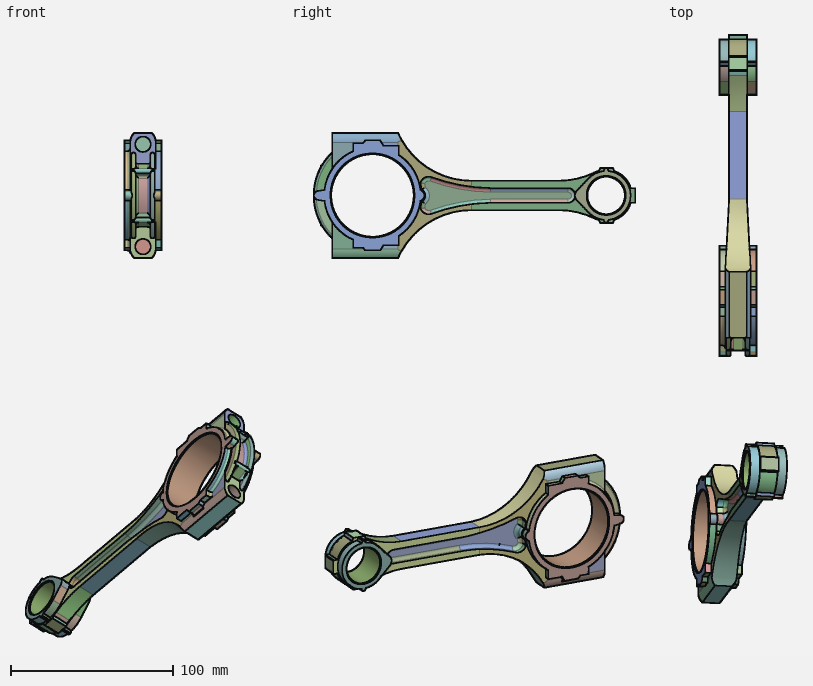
import cadquery as cq
import math


pin_y = 144.2
pin_body_radius = 15.9
shank_half_height = 9.1
shank_half_thickness = 5.5
neck_y = 115.0
flare_y = 61.0
flare_radius = 49.3
shoulder_half_thickness = 8.0
taper_end_y = 15.5

shoulder_height = 77.3
shoulder_half_height = shoulder_height / 2
seat_y = -24.8
shoulder_round_z = 32.8
bolt_z = 31.5
bolt_radius = 4.8
bolt_depth = 29.8
cap_radius = 36.4
channel_floor_radius = 30.8
cap_rib_outer_x = 7.4
cap_rib_inner_x = 4.4
channel_fillet = 1.5

boss_half_width = 11.5
crank_bore_radius = 25.5
pin_bore_radius = 11.5
bore_chamfer = 0.5
crank_boss_radius = 29.8
pin_boss_radius = 15.1
pin_boss_tip_y = 125.0
pin_boss_tip_radius = 4.4
nub_half_height = 2.8
nub_foot_half_height = 3.4
nub_reach = 36.2
rod_nub_reach = 32.0
boss_base_fillet = 1.5
crank_pad_start_y = 16.3
crank_pad_end_y = -11.7
crank_pad_lug_z = 34.0
crank_pad_lug_start_y = 4.8
crank_pad_lug_end_y = -4.4
crank_pad_end_z = 32.2
crank_pad_start_z = 30.8
crank_pad_ramp_start_y = 6.8
crank_pad_ramp_end_y = -6.0

end_pad_y = pin_y + 18.0
end_pad_half_height = 4.5
end_pad_chamfer = 0.4
end_pad_flare = 1.2
end_pad_straight = 3.0
side_pad_z = 17.0
pad_root_y = pin_y + 14.0
pad_root_z = 14.0
small_pad_z = 16.7
small_pad_foot = 1.5

pocket_floor_x = 0.8
pocket_half_height = 4.5
pocket_start_y = 125.2
pocket_flare_y = 72.7
pocket_corner_y = 36.4
pocket_corner_z = 11.3
pocket_end_radius = 30.5
pocket_floor_fillet = 2.4


def side_plate(half_width):
    """Workplane whose sketch (Y, Z) extrudes symmetrically to +/- half_width along X."""
    return cq.Workplane("YZ").workplane(offset=-half_width)


def disc(radius, half_width, y=0.0):
    return side_plate(half_width).center(y, 0).circle(radius).extrude(2 * half_width)


def plate(points, half_width):
    return side_plate(half_width).polyline(points).close().extrude(2 * half_width)


def space_below(y):
    """Block that holds all of the cap end of the rod below the given Y."""
    depth = cap_radius + y + 2
    return (
        cq.Workplane("XY")
        .box(2 * boss_half_width, depth, 2 * shoulder_half_height)
        .translate((0, y - depth / 2, 0))
    )


def mirrored_z(solid):
    return solid.union(solid.mirror("XY"))


def circle_offset(radius, distance):
    """Second coordinate of a point on a centred circle, given the first."""
    return math.sqrt(radius**2 - distance**2)


def rod_outline():
    """Side shape of the shank, its two blends and the bolt shoulders."""
    run = pin_y - neck_y
    neck_radius = (run**2 + shank_half_height**2 - pin_body_radius**2) / (
        2 * (pin_body_radius - shank_half_height)
    )
    share = pin_body_radius / (pin_body_radius + neck_radius)
    neck_top = (pin_y - run * share, (shank_half_height + neck_radius) * share)
    neck_angle = math.asin(run * (1 - share) / neck_radius) / 2
    neck_mid = (
        neck_y + neck_radius * math.sin(neck_angle),
        shank_half_height + neck_radius * (1 - math.cos(neck_angle)),
    )
    rise = shoulder_half_height - shank_half_height
    flare_angle = math.acos(1 - rise / flare_radius)

    def on_flare(angle):
        return (
            flare_y - flare_radius * math.sin(angle),
            shank_half_height + flare_radius * (1 - math.cos(angle)),
        )

    half = (
        side_plate(shoulder_half_thickness)
        .moveTo(pin_y, 0)
        .lineTo(*neck_top)
        .threePointArc(neck_mid, (neck_y, shank_half_height))
        .lineTo(flare_y, shank_half_height)
        .threePointArc(on_flare(flare_angle / 2), on_flare(flare_angle))
        .lineTo(seat_y, shoulder_half_height)
        .lineTo(seat_y, 0)
        .close()
        .extrude(2 * shoulder_half_thickness)
    )
    small_end = disc(pin_body_radius, shoulder_half_thickness, pin_y)
    return mirrored_z(half).union(small_end)


def thickness_envelope():
    """Plan taper of the shank and the rounded sides of the bolt shoulders."""
    plan = [
        (shank_half_thickness, end_pad_y),
        (shank_half_thickness, flare_y),
        (shoulder_half_thickness, taper_end_y),
        (shoulder_half_thickness, seat_y),
    ]
    plan += [(-x, y) for x, y in reversed(plan)]
    taper = (
        cq.Workplane("XY")
        .workplane(offset=-shoulder_half_height)
        .polyline(plan)
        .close()
        .extrude(2 * shoulder_half_height)
    )
    length = end_pad_y - seat_y
    section = cq.Workplane("XZ", origin=(0, end_pad_y, 0))
    middle = section.rect(2 * shoulder_half_thickness, 2 * shoulder_round_z).extrude(length)
    rounds = (
        section.pushPoints([(0, shoulder_round_z), (0, -shoulder_round_z)])
        .circle(shoulder_half_thickness)
        .extrude(length)
    )
    return taper.intersect(middle.union(rounds))


def cap_rib():
    """Full-round rib running around the cap on the +X side of the channel."""
    crest_radius = (cap_rib_outer_x - cap_rib_inner_x) / 2
    side_top = cap_radius - crest_radius
    return (
        cq.Workplane("XY")
        .moveTo(cap_rib_inner_x, 0)
        .lineTo(cap_rib_inner_x, side_top)
        .threePointArc((cap_rib_inner_x + crest_radius, cap_radius), (cap_rib_outer_x, side_top))
        .lineTo(cap_rib_outer_x, 0)
        .close()
        .revolve(360, (0, 0, 0), (1, 0, 0))
    )


def cap_web():
    """Web between the cap ribs: a cross rib each side of a round-floored pocket."""
    rib_foot = (seat_y, 19.5)
    rib_crest = (-32.0, 16.7)
    rib_tip = (-33.0, 15.3)
    rib_back = (-32.5, 13.7)
    rib_reach = 6.4
    web = (
        side_plate(rib_reach)
        .moveTo(*rib_foot)
        .lineTo(*rib_crest)
        .threePointArc(rib_tip, rib_back)
        .lineTo(rib_back[0], -rib_back[1])
        .threePointArc((rib_tip[0], -rib_tip[1]), (rib_crest[0], -rib_crest[1]))
        .lineTo(rib_foot[0], -rib_foot[1])
        .close()
        .extrude(2 * rib_reach)
    )

    floor_z = 12.3
    floor_y = -circle_offset(channel_floor_radius, floor_z)
    pocket_mouth = (-cap_radius, rib_back[1] + 0.5)
    pocket = (
        side_plate(cap_rib_inner_x)
        .moveTo(floor_y, floor_z)
        .threePointArc((-channel_floor_radius, 0), (floor_y, -floor_z))
        .lineTo(rib_back[0], -rib_back[1])
        .lineTo(pocket_mouth[0], -pocket_mouth[1])
        .lineTo(*pocket_mouth)
        .lineTo(*rib_back)
        .close()
        .extrude(2 * cap_rib_inner_x)
        .faces(cq.selectors.NearestToPointSelector((0, -channel_floor_radius, 0)))
        .edges()
        .fillet(channel_fillet)
    )

    flank_y = (rib_foot[0] + rib_crest[0]) / 2
    flank_z = (rib_foot[1] + rib_crest[1]) / 2
    flank_relief = (
        plate(
            [rib_foot, rib_crest, (rib_crest[0], shoulder_half_height), (seat_y, shoulder_half_height)],
            cap_rib_inner_x,
        )
        .faces(cq.selectors.NearestToPointSelector((0, flank_y, flank_z)))
        .edges("not |X")
        .fillet(channel_fillet)
    )
    fillet_stock = plate([rib_foot, rib_crest, (rib_crest[0], rib_foot[1] + 2)], cap_rib_inner_x)
    flank_fillet = mirrored_z(fillet_stock.cut(flank_relief))
    return web.cut(pocket).union(flank_fillet)


def cap():
    """Cap below the bolt seats."""
    rib = cap_rib()
    ribs = rib.union(rib.mirror("YZ"))
    return ribs.union(cap_web()).intersect(space_below(seat_y))


def crank_boss():
    ring = disc(crank_boss_radius, boss_half_width)
    pad = plate(
        [
            (crank_pad_start_y, 0),
            (crank_pad_start_y, crank_pad_start_z),
            (crank_pad_ramp_start_y, crank_pad_start_z),
            (crank_pad_lug_start_y, crank_pad_lug_z),
            (crank_pad_lug_end_y, crank_pad_lug_z),
            (crank_pad_ramp_end_y, crank_pad_end_z),
            (crank_pad_end_y, crank_pad_end_z),
            (crank_pad_end_y, 0),
        ],
        boss_half_width,
    )
    cap_nub = (
        side_plate(boss_half_width)
        .moveTo(-crank_bore_radius, nub_foot_half_height)
        .lineTo(-crank_boss_radius, nub_foot_half_height)
        .lineTo(nub_half_height - nub_reach, nub_half_height)
        .threePointArc((-nub_reach, 0), (nub_half_height - nub_reach, -nub_half_height))
        .lineTo(-crank_boss_radius, -nub_foot_half_height)
        .lineTo(-crank_bore_radius, -nub_foot_half_height)
        .close()
        .extrude(2 * boss_half_width)
    )
    cap_nub = cap_nub.cut(disc(cap_radius, (cap_rib_inner_x + cap_rib_outer_x) / 2))
    rod_nub = (
        side_plate(boss_half_width)
        .moveTo(crank_bore_radius, nub_foot_half_height)
        .lineTo(crank_boss_radius, nub_foot_half_height)
        .threePointArc((rod_nub_reach, 0), (crank_boss_radius, -nub_foot_half_height))
        .lineTo(crank_bore_radius, -nub_foot_half_height)
        .close()
        .extrude(2 * boss_half_width)
    )
    return ring.union(mirrored_z(pad)).union(cap_nub).union(rod_nub)


def cove_profile(plane, wall):
    """Concave corner section between the -X rod face and a boss wall at the given distance."""
    face_x = -shoulder_half_thickness
    r = boss_base_fillet
    sag = r * (1 - math.sqrt(0.5))
    overlap = 1.0
    return (
        plane.moveTo(face_x + overlap, wall - overlap)
        .lineTo(face_x - r, wall - overlap)
        .lineTo(face_x - r, wall)
        .threePointArc((face_x - sag, wall + sag), (face_x, wall + r))
        .lineTo(face_x + overlap, wall + r)
        .close()
    )


def boss_coves():
    """Coves on the -X side: around the cap boss, and along the end and lug of the lower pad."""
    ring = cove_profile(cq.Workplane("XY"), crank_boss_radius).revolve(360, (0, 0, 0), (1, 0, 0))
    pad_end_base = circle_offset(crank_boss_radius, crank_pad_end_y)
    pad_end = (
        cove_profile(cq.Workplane("XY", origin=(0, 0, -crank_pad_end_z)), -crank_pad_end_y)
        .extrude(crank_pad_end_z - pad_end_base)
        .mirror("XZ")
    )
    lug = (
        cove_profile(cq.Workplane("XZ", origin=(0, crank_pad_lug_start_y, 0)), crank_pad_lug_z)
        .extrude(crank_pad_lug_start_y - crank_pad_lug_end_y)
        .mirror("XY")
    )
    return ring.intersect(space_below(crank_pad_end_y)).union(pad_end).union(lug)


def pin_boss():
    """Round boss drawn out to a rounded point toward the shank, with a small pad top and bottom."""
    tip_y = pin_boss_tip_y + pin_boss_tip_radius
    slope = math.asin((pin_boss_radius - pin_boss_tip_radius) / (pin_y - tip_y))

    def tangent_point(y, radius):
        return (y - radius * math.sin(slope), radius * math.cos(slope))

    wedge_top = [tangent_point(pin_y, pin_boss_radius), tangent_point(tip_y, pin_boss_tip_radius)]
    wedge = plate(wedge_top + [(y, -z) for y, z in reversed(wedge_top)], boss_half_width)
    small_pad = plate(
        [
            (pin_y + small_pad_foot, pad_root_z),
            (pin_y + small_pad_foot, pin_boss_radius),
            (pin_y + small_pad_foot / 2, small_pad_z),
            (pin_y - small_pad_foot / 2, small_pad_z),
            (pin_y - small_pad_foot, pin_boss_radius),
            (pin_y - small_pad_foot, pad_root_z),
        ],
        boss_half_width,
    )
    return (
        disc(pin_boss_radius, boss_half_width, pin_y)
        .union(wedge)
        .union(disc(pin_boss_tip_radius, boss_half_width, tip_y))
        .union(mirrored_z(small_pad))
    )


def weight_pads():
    side = plate(
        [
            (pin_y + 5.5, pad_root_z),
            (pin_y + 4.2, side_pad_z),
            (pin_y - 3.5, side_pad_z),
            (pin_y - 5.2, pad_root_z),
        ],
        shank_half_thickness,
    )
    end = plate(
        [
            (pad_root_y, 0),
            (pad_root_y, end_pad_half_height + end_pad_flare),
            (end_pad_y - end_pad_straight, end_pad_half_height),
            (end_pad_y - end_pad_chamfer, end_pad_half_height),
            (end_pad_y, end_pad_half_height - end_pad_chamfer),
            (end_pad_y, 0),
        ],
        shank_half_thickness,
    )
    return mirrored_z(side).union(mirrored_z(end))


def shank_pocket():
    """Pocket on the +X side: straight slot that flares out and ends against the crank boss."""
    round_y = pocket_start_y - pocket_half_height
    flare_mid = ((pocket_flare_y + pocket_corner_y) / 2, 6.4)
    corner_mid = (31.8, 10.7)
    wall_top_z = 7.7
    wall_top_y = circle_offset(pocket_end_radius, wall_top_z)
    nub_edge_z = 3.5
    nub_edge_y = circle_offset(pocket_end_radius, nub_edge_z)
    nub_tip_y = rod_nub_reach + 0.5
    return (
        cq.Workplane("YZ")
        .workplane(offset=pocket_floor_x)
        .moveTo(round_y, -pocket_half_height)
        .threePointArc((pocket_start_y, 0), (round_y, pocket_half_height))
        .lineTo(pocket_flare_y, pocket_half_height)
        .threePointArc(flare_mid, (pocket_corner_y, pocket_corner_z))
        .threePointArc(corner_mid, (wall_top_y, wall_top_z))
        .lineTo(nub_edge_y, nub_edge_z)
        .threePointArc((nub_tip_y, 0), (nub_edge_y, -nub_edge_z))
        .lineTo(wall_top_y, -wall_top_z)
        .threePointArc((corner_mid[0], -corner_mid[1]), (pocket_corner_y, -pocket_corner_z))
        .threePointArc((flare_mid[0], -flare_mid[1]), (pocket_flare_y, -pocket_half_height))
        .close()
        .extrude(boss_half_width - pocket_floor_x)
        .faces("<X")
        .edges()
        .fillet(pocket_floor_fillet)
    )


def chamfered_bore(radius, y):
    bore = disc(radius, boss_half_width, y)
    mouth = radius + bore_chamfer
    start = cq.Vector(-boss_half_width, y, 0)
    cone = cq.Workplane(cq.Solid.makeCone(mouth, radius, bore_chamfer, start, cq.Vector(1, 0, 0)))
    return bore.union(cone).union(cone.mirror("YZ"))


def bolt_holes():
    return (
        cq.Workplane("XZ", origin=(0, seat_y + bolt_depth, 0))
        .pushPoints([(0, bolt_z), (0, -bolt_z)])
        .circle(bolt_radius)
        .extrude(bolt_depth)
    )


pocket = shank_pocket()
rod = rod_outline().intersect(thickness_envelope())
rod = rod.union(cap()).union(weight_pads()).cut(pocket).cut(pocket.mirror("YZ"))
rod = rod.union(crank_boss()).union(boss_coves()).union(pin_boss())
rod = rod.cut(chamfered_bore(crank_bore_radius, 0.0)).cut(chamfered_bore(pin_bore_radius, pin_y))
result = rod.cut(bolt_holes())